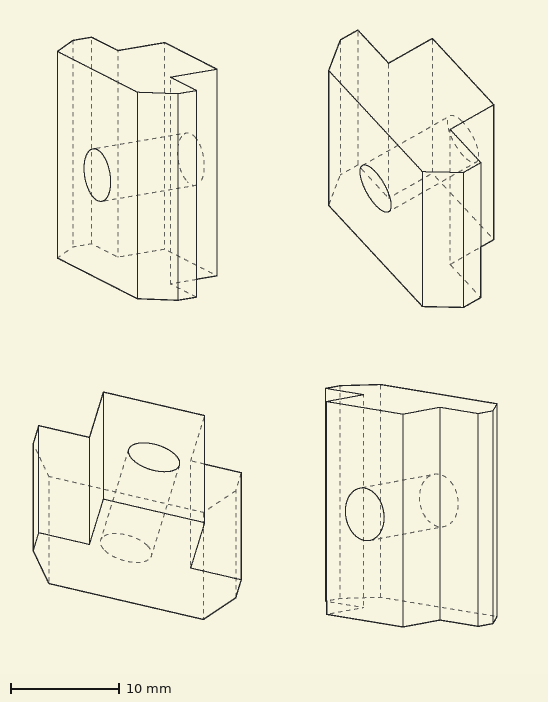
import cadquery as cq

width = 19.4
depth = 10.0
height = 20.0

flange_depth = depth / 2
stem_width = width / 2
bevel_width = 2.3
bevel_depth = 3.0

hole_diameter = 4.92

half_width = width / 2
half_stem = stem_width / 2
front_y = -depth / 2
back_y = depth / 2
shoulder_y = front_y + flange_depth
bevel_y = front_y + bevel_depth
front_half_width = half_width - bevel_width

right_half = [
    (front_half_width, front_y),
    (half_width, bevel_y),
    (half_width, shoulder_y),
    (half_stem, shoulder_y),
    (half_stem, back_y),
]
left_half = [(-x, y) for x, y in reversed(right_half)]

body = (
    cq.Workplane("XY")
    .polyline(right_half + left_half)
    .close()
    .extrude(height / 2, both=True)
)

hole = cq.Workplane("XZ").circle(hole_diameter / 2).extrude(depth, both=True)

result = body.cut(hole)